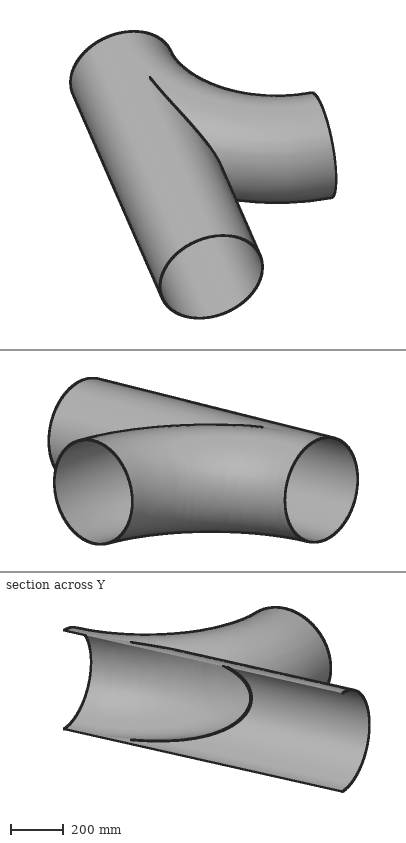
import cadquery as cq

run_length = 1220.0
outer_diameter = 406.0
inner_diameter = 400.0
bend_radius = 1.5 * outer_diameter
bend_angle = 90.0

clearance = 122.0


def ring():
    """Tube cross-section on the inlet plane X = 0, shared by the run and the bend."""
    return cq.Workplane("YZ").circle(outer_diameter / 2).circle(inner_diameter / 2)


def straight_run():
    """Straight tube along +X."""
    return ring().extrude(run_length)


def branch_bend():
    """Quarter bend that leaves the inlet along +X and turns to face +Y."""
    return ring().revolve(bend_angle, (bend_radius, 0), (bend_radius, 1))


def run_side_block():
    """Block holding everything on the run's side of the joint between the two tubes.

    A cylinder and a torus of equal tube radius that touch at X = 0 cross on the
    parabola Y = X^2 / (4 * bend_radius), whatever that tube radius is. Inner and
    outer walls therefore meet on one parabolic surface.
    """
    end_x = run_length + clearance
    end_y = end_x**2 / (4 * bend_radius)
    low_y = -outer_diameter / 2 - clearance
    block_half_height = outer_diameter / 2 + clearance
    return (
        cq.Workplane("XY")
        .moveTo(-clearance, low_y)
        .lineTo(-clearance, 0)
        .lineTo(0, 0)
        .bezier([(end_x / 2, 0), (end_x, end_y)], includeCurrent=True)
        .lineTo(end_x, low_y)
        .close()
        .extrude(block_half_height, both=True)
    )


run_block = run_side_block()
trimmed_run = straight_run().intersect(run_block)
trimmed_bend = branch_bend().cut(run_block)
result = trimmed_run.union(trimmed_bend)